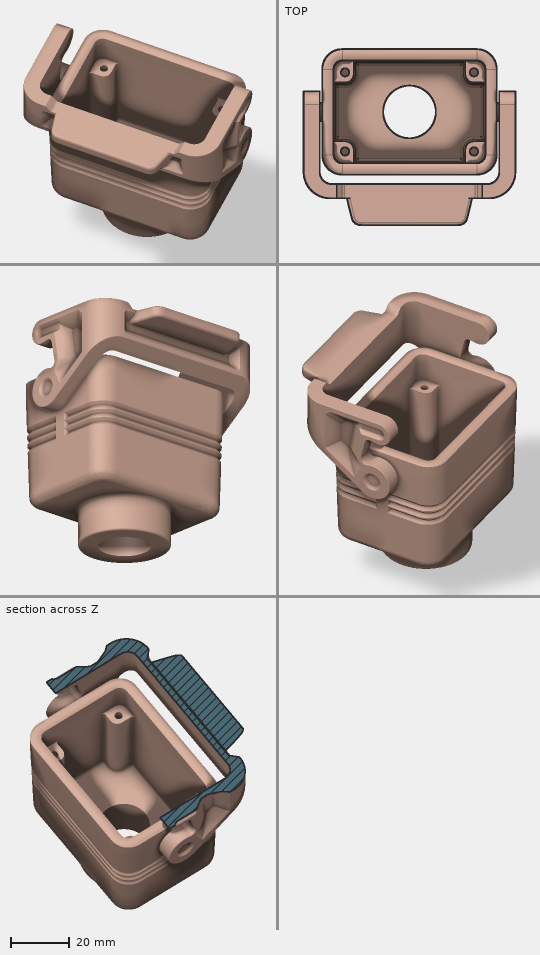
import cadquery as cq
import math

RIM_LENGTH = 59.75
RIM_WIDTH = 43.0
CORNER_R = 6.95
WALL = 3.9
RIM_TOP = 58.0
RIM_CROWN = 0.5
DRAFT_TOP = 52.9
BODY_BOTTOM = 12.9
BODY_BOTTOM_R = 3.2
DRAFT = 1.3
FLOOR_Z = 16.4
FLOOR_FILLET = 0.9

NECK_R = 15.9
NECK_BORE_R = 9.0
NECK_FILLET = 1.35
NECK_END_ROUND = 0.7

PILLAR_TOP = 46.55
PILLAR_X = 19.1
PILLAR_Y = 10.1
PILLAR_R = 2.7
PILLAR_DRAFT = 1.5
PILLAR_ROOT_R = 0.9
SCREW_X = 22.0
SCREW_Y = 13.5
SCREW_HOLE_R = 1.4
SCREW_HOLE_DEPTH = 14.95

GROOVE_COUNT = 3
GROOVE_MID_Z = 36.5
GROOVE_PITCH = 3.0
GROOVE_DEPTH = 1.1
GROOVE_HALF_WIDTH = 1.35
GROOVE_GAP = 3.4

LEVER_LENGTH = 72.5
LEVER_HALF = LEVER_LENGTH / 2
LEVER_TOP = 74.7
LEVER_FRONT = -29.6
ARM_THICKNESS = 5.6
FRONT_THICKNESS = 4.9
LEVER_OUTER_R = 9.1
LEVER_INNER_R = 4.1
LEVER_EDGE_ROUND = 0.3
PIVOT_Z = 48.9
PIVOT_LOBE_R = 6.95
HOOK_Y = 2.6
HOOK_R = 4.5
THROAT_TOP_Y = -2.5
THROAT_TOP_Z = 66.5
THROAT_TOP_R = 1.9
THROAT_FOOT_Y = -5.3
THROAT_FOOT_R = 1.9
UNDERSIDE_ANGLE = math.radians(35)

PIN_R = 3.2
SINK_OUTER_R = 3.4
SINK_INNER_R = 2.3
SINK_DEPTH = 0.9

TAB_TOP = 72.6
TAB_TIP = -38.8
TAB_ROOT_THICKNESS = 4.5
TAB_TIP_THICKNESS = 3.95
TAB_ROOT_HALF = 21.45
TAB_TIP_HALF = 19.2
TAB_CORNER_R = 3.35
TAB_EDGE_R = 1.0
NOTCH_BOTTOM_HALF = 22.85
NOTCH_TOP_HALF = 24.95
NOTCH_ROUND = 1.1

FRONT_RECESS_LENGTH = 53.0
FRONT_RECESS_BOTTOM = 62.8
FRONT_RECESS_TOP = 71.5
FRONT_RECESS_DEPTH = 2.6
FRONT_RECESS_TAPER = 45
FRONT_RECESS_R = 1.35
HOOK_CHANNEL_END = -5.2
HOOK_CHANNEL_WIDTH = 4.8
HOOK_CHANNEL_DEPTH = 1.4
HOOK_CHANNEL_TAPER = 40
ARM_POCKET_DEPTH = 3.7


def rounded_rectangle(length, width, radius):
    return cq.Sketch().rect(length, width).vertices().fillet(radius)


def drafted_block(length, width, radius, top, bottom):
    """Block that narrows downwards by the draft angle and keeps its corner radius."""
    inset = (top - bottom) * math.tan(math.radians(DRAFT))
    upper = rounded_rectangle(length, width, radius)
    lower = rounded_rectangle(length - 2 * inset, width - 2 * inset, radius)
    lower = lower.moved(cq.Location(cq.Vector(0, 0, bottom - top)))
    return cq.Workplane("XY", origin=(0, 0, top)).placeSketch(upper, lower).loft()


def ring(section):
    """Sweep a section lying in the X = 0 plane along the outline of the rim."""
    half_x = RIM_LENGTH / 2
    half_y = RIM_WIDTH / 2
    path = (
        cq.Workplane("XY")
        .moveTo(0, -half_y)
        .lineTo(half_x - CORNER_R, -half_y)
        .radiusArc((half_x, -half_y + CORNER_R), -CORNER_R)
        .lineTo(half_x, half_y - CORNER_R)
        .radiusArc((half_x - CORNER_R, half_y), -CORNER_R)
        .lineTo(-half_x + CORNER_R, half_y)
        .radiusArc((-half_x, half_y - CORNER_R), -CORNER_R)
        .lineTo(-half_x, -half_y + CORNER_R)
        .radiusArc((-half_x + CORNER_R, -half_y), -CORNER_R)
        .close()
    )
    return section.sweep(path)


def mirrored_pair(shape):
    return shape.union(shape.mirror("YZ"))


def make_rim():
    """Upright upper wall with a crowned sealing edge."""
    outer_y = -RIM_WIDTH / 2
    edge_z = RIM_TOP - RIM_CROWN
    section = (
        cq.Workplane("YZ")
        .moveTo(outer_y, DRAFT_TOP)
        .lineTo(outer_y, edge_z)
        .threePointArc((outer_y + WALL / 2, RIM_TOP), (outer_y + WALL, edge_z))
        .lineTo(outer_y + WALL, DRAFT_TOP)
        .close()
    )
    return ring(section)


def make_shell():
    """Drafted body under the rim, with the neck blended into its bottom."""
    body = drafted_block(RIM_LENGTH, RIM_WIDTH, CORNER_R, DRAFT_TOP, BODY_BOTTOM)
    body = body.faces("<Z").edges().fillet(BODY_BOTTOM_R)
    neck = cq.Workplane("XY").circle(NECK_R).extrude(FLOOR_Z)
    body = body.union(neck)
    seam = cq.selectors.BoxSelector(
        (-NECK_R - 0.75, -NECK_R - 0.75, BODY_BOTTOM - 0.1), (NECK_R + 0.75, NECK_R + 0.75, BODY_BOTTOM + 0.1)
    )
    body = body.edges(seam).edges("%CIRCLE").fillet(NECK_FILLET)
    return body.faces("<Z").edges().fillet(NECK_END_ROUND)


def make_pillars():
    """Four corner pillars, wider at the foot, rounded on the corner facing the middle."""
    height = PILLAR_TOP - FLOOR_Z
    reach = 2 * WALL
    length = RIM_LENGTH / 2 - PILLAR_X + reach
    width = RIM_WIDTH / 2 - PILLAR_Y + reach
    outline = rounded_rectangle(length, width, PILLAR_R)
    pillars = cq.Workplane("XY")
    for side_x in (-1, 1):
        for side_y in (-1, 1):
            centre = (side_x * (PILLAR_X + length / 2), side_y * (PILLAR_Y + width / 2), PILLAR_TOP)
            top = cq.Workplane("XY", origin=centre).placeSketch(outline)
            pillars = pillars.union(top.extrude(-height, taper=-PILLAR_DRAFT))
    return pillars


def upright_edge_near(x, y):
    """Selector for the pillar root edge whose middle lies close to (x, y)."""
    reach = 1.2
    quarter = (PILLAR_TOP - FLOOR_Z) / 4
    return cq.selectors.BoxSelector(
        (x - reach, y - reach, FLOOR_Z + quarter), (x + reach, y + reach, PILLAR_TOP - quarter)
    )


def make_cavity():
    """Space inside the housing, with the pillars left standing."""
    cavity = drafted_block(
        RIM_LENGTH - 2 * WALL, RIM_WIDTH - 2 * WALL, CORNER_R - WALL, DRAFT_TOP, FLOOR_Z
    )
    cavity = cavity.cut(make_pillars())
    half_x = RIM_LENGTH / 2 - WALL
    half_y = RIM_WIDTH / 2 - WALL
    for side in (-1, 1):
        for root_x, root_y in ((side * PILLAR_X, half_y), (side * half_x, PILLAR_Y)):
            for mirror in (-1, 1):
                corner = (root_x, mirror * root_y)
                cavity = cavity.edges(upright_edge_near(*corner)).fillet(PILLAR_ROOT_R)
    return cavity.faces("<Z").edges().fillet(FLOOR_FILLET)


def make_screw_holes():
    return (
        cq.Workplane("XY", origin=(0, 0, PILLAR_TOP))
        .rect(2 * SCREW_X, 2 * SCREW_Y, forConstruction=True)
        .vertices()
        .circle(SCREW_HOLE_R)
        .extrude(-SCREW_HOLE_DEPTH)
    )


def make_grip_grooves():
    """V grooves round the body, interrupted in the middle of both end faces."""
    grooves = cq.Workplane("XY")
    margin = 0.75
    slope = GROOVE_HALF_WIDTH / GROOVE_DEPTH
    for index in range(GROOVE_COUNT):
        z = GROOVE_MID_Z + (index - (GROOVE_COUNT - 1) / 2) * GROOVE_PITCH
        surface = (DRAFT_TOP - z) * math.tan(math.radians(DRAFT))
        surface_y = -RIM_WIDTH / 2 + surface
        mouth = GROOVE_HALF_WIDTH + margin * slope
        section = (
            cq.Workplane("YZ")
            .moveTo(surface_y + GROOVE_DEPTH, z)
            .lineTo(surface_y - margin, z + mouth)
            .lineTo(surface_y - margin, z - mouth)
            .close()
        )
        grooves = grooves.union(ring(section))
    end_x = RIM_LENGTH / 2
    half_gap = GROOVE_GAP / 2
    reach = 3.7
    bridge = (
        cq.Workplane("XY", origin=(0, 0, BODY_BOTTOM))
        .polyline(
            [
                (end_x - reach, half_gap + reach),
                (end_x, half_gap),
                (end_x + reach, half_gap),
                (end_x + reach, -half_gap),
                (end_x, -half_gap),
                (end_x - reach, -half_gap - reach),
            ]
        )
        .close()
        .extrude(DRAFT_TOP - BODY_BOTTOM)
    )
    return grooves.cut(mirrored_pair(bridge))


def make_housing():
    housing = make_shell().cut(make_grip_grooves()).cut(make_cavity()).union(make_rim())
    bore = cq.Workplane("XY").circle(NECK_BORE_R).extrude(PILLAR_TOP)
    return housing.cut(bore).cut(make_screw_holes())


def cross_edge_at(y, z):
    """Selector for the edge along X whose middle is at (y, z)."""
    reach = 0.1
    return cq.selectors.BoxSelector((-reach, y - reach, z - reach), (reach, y + reach, z + reach))


def lever_side_profile():
    """Hooked plate in the YZ plane, extruded over the whole lever length."""
    tangent_y = -PIVOT_LOBE_R * math.sin(UNDERSIDE_ANGLE)
    tangent_z = PIVOT_Z - PIVOT_LOBE_R * math.cos(UNDERSIDE_ANGLE)
    front_z = tangent_z + (tangent_y - LEVER_FRONT) * math.tan(UNDERSIDE_ANGLE)
    throat_foot_z = PIVOT_Z + math.sqrt(PIVOT_LOBE_R**2 - THROAT_FOOT_Y**2)
    hook_z = LEVER_TOP - HOOK_R
    throat_y = THROAT_TOP_Y - HOOK_Y
    throat_z = THROAT_TOP_Z - hook_z
    turn = math.atan2(throat_z, throat_y) + math.acos(HOOK_R / math.hypot(throat_y, throat_z))
    hook_end = (HOOK_Y + HOOK_R * math.cos(turn), hook_z + HOOK_R * math.sin(turn))
    plate = (
        cq.Workplane("YZ", origin=(-LEVER_HALF, 0, 0))
        .moveTo(LEVER_FRONT, front_z)
        .lineTo(tangent_y, tangent_z)
        .threePointArc((PIVOT_LOBE_R, PIVOT_Z), (THROAT_FOOT_Y, throat_foot_z))
        .lineTo(THROAT_TOP_Y, THROAT_TOP_Z)
        .lineTo(*hook_end)
        .threePointArc((HOOK_Y + HOOK_R, hook_z), (HOOK_Y, LEVER_TOP))
        .lineTo(LEVER_FRONT, LEVER_TOP)
        .close()
        .extrude(LEVER_LENGTH)
    )
    plate = plate.edges(cross_edge_at(THROAT_FOOT_Y, throat_foot_z)).fillet(THROAT_FOOT_R)
    return plate.edges(cross_edge_at(THROAT_TOP_Y, THROAT_TOP_Z)).fillet(THROAT_TOP_R)


def lever_plan(half_length, front_y, corner_r):
    """Block with the two front corners rounded in plan, reaching past the arm ends."""
    back_y = 2 * PIVOT_LOBE_R
    depth = back_y - front_y
    return (
        cq.Workplane("XY", origin=(0, front_y + depth / 2, 0))
        .rect(2 * half_length, depth)
        .extrude(LEVER_TOP)
        .edges("|Z and <Y")
        .fillet(corner_r)
    )


def make_yoke():
    """U-shaped lever body: two hooked arms joined by the front wall."""
    outside = lever_plan(LEVER_HALF, LEVER_FRONT, LEVER_OUTER_R)
    inside = lever_plan(LEVER_HALF - ARM_THICKNESS, LEVER_FRONT + FRONT_THICKNESS, LEVER_INNER_R)
    solid = lever_side_profile().intersect(outside)
    arm_rims = solid.faces("<X or >X").edges("not |Z")
    return arm_rims.fillet(LEVER_EDGE_ROUND).cut(inside)


def make_tab_notch():
    """Step in the top of the yoke front, level with the tab."""
    depth = LEVER_TOP - TAB_TOP
    overshoot = 1.5
    top_half = NOTCH_TOP_HALF + overshoot * (NOTCH_TOP_HALF - NOTCH_BOTTOM_HALF) / depth
    return (
        cq.Workplane("XZ", origin=(0, LEVER_FRONT + 2 * FRONT_THICKNESS, 0))
        .polyline(
            [
                (-NOTCH_BOTTOM_HALF, TAB_TOP),
                (NOTCH_BOTTOM_HALF, TAB_TOP),
                (top_half, LEVER_TOP + overshoot),
                (-top_half, LEVER_TOP + overshoot),
            ]
        )
        .close()
        .extrude(3 * FRONT_THICKNESS)
        .edges("|Y and <Z")
        .fillet(NOTCH_ROUND)
    )


def make_tab():
    """Thumb tab: thinner at the tip, narrowing forwards, with rounded edges."""
    root_y = LEVER_FRONT + FRONT_THICKNESS / 2
    side_margin = 3.7
    side = (
        cq.Workplane("YZ", origin=(-TAB_ROOT_HALF - side_margin, 0, 0))
        .polyline(
            [
                (root_y, TAB_TOP),
                (TAB_TIP, TAB_TOP),
                (TAB_TIP, TAB_TOP - TAB_TIP_THICKNESS),
                (root_y, TAB_TOP - TAB_ROOT_THICKNESS),
            ]
        )
        .close()
        .extrude(2 * (TAB_ROOT_HALF + side_margin))
    )
    slope = (TAB_ROOT_HALF - TAB_TIP_HALF) / (LEVER_FRONT - TAB_TIP)
    root_half = TAB_ROOT_HALF + slope * (root_y - LEVER_FRONT)
    plan = (
        cq.Workplane("XY")
        .polyline(
            [
                (-root_half, root_y),
                (root_half, root_y),
                (TAB_TIP_HALF, TAB_TIP),
                (-TAB_TIP_HALF, TAB_TIP),
            ]
        )
        .close()
        .extrude(LEVER_TOP)
        .edges("|Z and <Y")
        .fillet(TAB_CORNER_R)
    )
    tab = side.intersect(plan)
    return tab.edges("(not |Z) and (not >Y)").fillet(TAB_EDGE_R)


def make_front_recess():
    """Recess with sloping walls in the front of the yoke, round the root of the tab."""
    height = FRONT_RECESS_TOP - FRONT_RECESS_BOTTOM
    middle_z = (FRONT_RECESS_TOP + FRONT_RECESS_BOTTOM) / 2
    outline = rounded_rectangle(FRONT_RECESS_LENGTH, height, FRONT_RECESS_R)
    return (
        cq.Workplane("XZ", origin=(0, LEVER_FRONT, middle_z))
        .placeSketch(outline)
        .extrude(-FRONT_RECESS_DEPTH, taper=FRONT_RECESS_TAPER)
    )


def make_arm_recess():
    """Pocket with sloping walls in the arm, running into a shallow channel along the hook."""
    arm_face = cq.Workplane("YZ", origin=(-LEVER_HALF, 0, 0))
    hook_z = LEVER_TOP - HOOK_R
    channel_length = HOOK_Y - HOOK_CHANNEL_END
    channel = (
        arm_face.center(HOOK_Y - channel_length / 2, hook_z)
        .slot2D(channel_length + HOOK_CHANNEL_WIDTH, HOOK_CHANNEL_WIDTH)
        .extrude(HOOK_CHANNEL_DEPTH, taper=HOOK_CHANNEL_TAPER)
    )
    top_z = hook_z + HOOK_CHANNEL_WIDTH / 2
    mouth = [
        (-3.0, top_z),
        (-16.8, top_z),
        (-18.6, 70.8),
        (-18.6, 56.5),
        (-7.0, 48.5),
        (-4.4, 53.8),
        (-6.35, 57.5),
        (-4.8, 66.1),
    ]
    floor = [
        (-9.7, 68.35),
        (-12.2, 68.35),
        (-14.4, 65.9),
        (-14.4, 58.8),
        (-11.65, 56.9),
        (-11.2, 57.15),
        (-11.05, 57.8),
        (-9.35, 67.2),
    ]
    pocket = (
        arm_face.polyline(mouth)
        .close()
        .workplane(offset=ARM_POCKET_DEPTH)
        .polyline(floor)
        .close()
        .loft(ruled=True)
    )
    return channel.union(pocket)


def make_pivot_sink():
    """Conical recess round the pivot on the outside of the arm."""
    return (
        cq.Workplane("YZ", origin=(-LEVER_HALF, 0, PIVOT_Z))
        .circle(SINK_OUTER_R)
        .workplane(offset=SINK_DEPTH)
        .circle(SINK_INNER_R)
        .loft()
    )


def make_pivot_pin():
    """Pin bridging the gap from the arm into the housing wall."""
    start_x = LEVER_HALF - ARM_THICKNESS / 2
    end_x = RIM_LENGTH / 2 - WALL / 2
    return (
        cq.Workplane("YZ", origin=(-start_x, 0, PIVOT_Z))
        .circle(PIN_R)
        .extrude(start_x - end_x)
    )


def make_lever():
    lever = make_yoke().cut(make_tab_notch())
    lever = lever.cut(make_front_recess()).union(make_tab())
    return lever.cut(mirrored_pair(make_arm_recess())).cut(mirrored_pair(make_pivot_sink()))


result = make_housing().union(make_lever()).union(mirrored_pair(make_pivot_pin()))